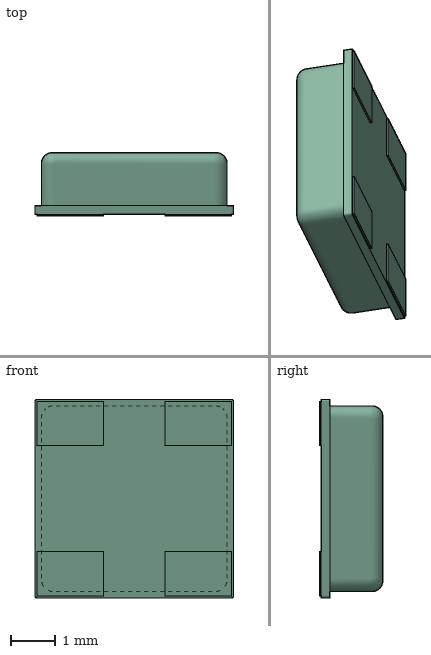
import cadquery as cq

plate_side = 4.5
plate_thickness = 0.2
plate_corner_radius = 0.05

can_side = 4.21
can_height = 1.2
can_corner_radius = 0.28
can_rim_radius = 0.25

pad_width = 1.5
pad_height = 1.0
pad_thickness = 0.035
pad_edge_inset = 0.05

plate_front_y = pad_thickness
can_front_y = plate_front_y + plate_thickness


def block(width, depth, height, front_y):
    """Box centred in X and Z whose -Y face lies at front_y."""
    return (
        cq.Workplane("XY")
        .box(width, depth, height, centered=(True, False, True))
        .translate((0, front_y, 0))
    )


def make_plate():
    plate = block(plate_side, plate_thickness, plate_side, plate_front_y)
    return plate.edges("|Y").fillet(plate_corner_radius)


def make_can():
    can = block(can_side, can_height, can_side, can_front_y)
    can = can.edges("|Y").fillet(can_corner_radius)
    return can.faces(">Y").edges().fillet(can_rim_radius)


def add_pads(body):
    """Add one pad near each corner of the plate."""
    offset_x = plate_side / 2 - pad_edge_inset - pad_width / 2
    offset_z = plate_side / 2 - pad_edge_inset - pad_height / 2
    for side_x in (-1, 1):
        for side_z in (-1, 1):
            pad = block(pad_width, pad_thickness, pad_height, 0)
            body = body.union(pad.translate((side_x * offset_x, 0, side_z * offset_z)))
    return body


result = add_pads(make_plate().union(make_can()))